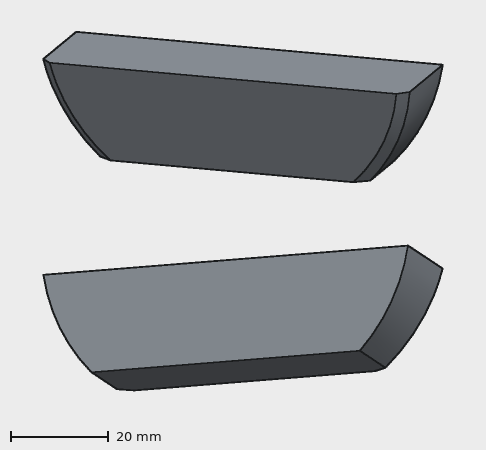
import cadquery as cq
import math

length = 79.0
depth = 23.9
height = 21.3
bottom_length = 58.2
end_radius = 39.5
front_slope = 15.0
chamfer_size = 2.1

front_setback = height * math.tan(math.radians(front_slope))


def end_midpoint():
    """Middle of the right-hand end arc, bulging outward by its sagitta."""
    run = (length - bottom_length) / 2
    chord = math.hypot(run, height)
    sagitta = end_radius - math.sqrt(end_radius**2 - (chord / 2) ** 2)
    middle_x = (length + bottom_length) / 4
    return (
        middle_x + sagitta * height / chord,
        -height / 2 - sagitta * run / chord,
    )


arc_x, arc_z = end_midpoint()
body = (
    cq.Workplane("XZ")
    .moveTo(-length / 2, 0)
    .lineTo(length / 2, 0)
    .threePointArc((arc_x, arc_z), (bottom_length / 2, -height))
    .lineTo(-bottom_length / 2, -height)
    .threePointArc((-arc_x, arc_z), (-length / 2, 0))
    .close()
    .extrude(depth)
)

side_profile = (
    cq.Workplane("YZ")
    .polyline([(0, 0), (-depth, 0), (-depth + front_setback, -height), (0, -height)])
    .close()
    .extrude(length / 2, both=True)
)
body = body.intersect(side_profile)

front_face = body.faces("<Y")
result = front_face.edges("not |X").chamfer(chamfer_size)